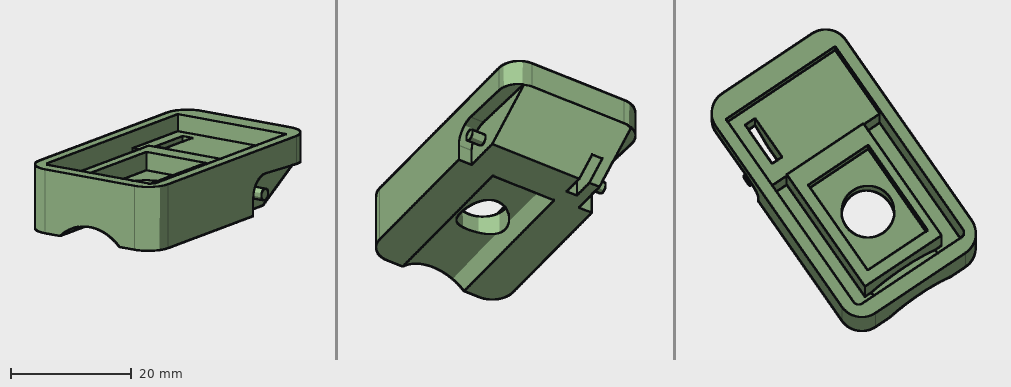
import cadquery as cq
import math

width, length, height = 26.0, 45.0, 11.0
corner_radius = 4.0

tray_width = 21.85
tray_front, tray_back = -19.95, 18.55
tray_corner_radius = 1.0
shelf_front = 5.5
shelf_z = 8.05
skin = 1.0

box_width = 15.35
box_front = -17.45
box_top = 9.0
pocket_width, pocket_length, pocket_depth = 12.0, 17.45, 3.15
window_x, window_y = 0.25, -6.7
window_diameter = 8.75

channel_radius = 8.5
channel_crown = 2.48
channel_axis_z = channel_crown - channel_radius

slot_width, slot_length = 2.0, 7.9
slot_x, slot_y = -7.5, 12.5

slope_front = 12.45
slope_top = 6.0
recess_depth = 2.5
recess_radius = 3.5
recess_front = 6.08
recess_top = 6.55
pin_y, pin_z = 9.4, 2.95
pin_diameter = 2.0


def block(x_size, y_front, y_back, z_bottom, z_top, x_center=0):
    """Box spanning the given Y and Z limits, centred on x_center."""
    size = (x_size, y_back - y_front, z_top - z_bottom)
    return cq.Workplane("XY").box(*size, centered=(True, False, False)).translate((x_center, y_front, z_bottom))


def channel_cylinder(radius, y_front, y_back):
    """Cylinder on the channel axis between two Y positions."""
    plane = cq.Workplane("XZ", origin=(0, y_front, channel_axis_z))
    return plane.circle(radius).extrude(y_front - y_back)


def side_recess():
    """Recess in the -X side: a near-level top edge that rounds down to the front edge."""
    arc_y = recess_front + recess_radius
    arc_z = recess_top - recess_radius
    run = length / 2 - arc_y
    rise = slope_top - arc_z
    tangent_angle = math.atan2(rise, run) + math.acos(recess_radius / math.hypot(run, rise))

    def arc_point(angle):
        return arc_y + recess_radius * math.cos(angle), arc_z + recess_radius * math.sin(angle)

    return (
        cq.Workplane("YZ", origin=(-width / 2, 0, 0))
        .moveTo(recess_front, 0)
        .lineTo(recess_front, arc_z)
        .threePointArc(arc_point((tangent_angle + math.pi) / 2), arc_point(tangent_angle))
        .lineTo(length / 2, slope_top)
        .lineTo(length / 2, 0)
        .close()
        .extrude(recess_depth)
    )


def pivot_pin():
    """Pin across the -X recess, flush with the outer side."""
    plane = cq.Workplane("YZ", origin=(-width / 2, pin_y, pin_z))
    return plane.circle(pin_diameter / 2).extrude(recess_depth)


body = cq.Workplane("XY").box(width, length, height, centered=(True, True, False))
body = body.edges("|Z").fillet(corner_radius)
shelf_recess = block(tray_width, shelf_front, tray_back, shelf_z, height)
well = block(tray_width, tray_front, shelf_front, skin, height)
well = well.edges("|Z and <Y").fillet(tray_corner_radius)
body = body.cut(shelf_recess).cut(well)

channel_roof = channel_cylinder(channel_radius + skin, tray_front, shelf_front)
channel_roof = channel_roof.intersect(block(tray_width, tray_front, shelf_front, 0, height))
body = body.union(channel_roof)
body = body.union(block(box_width, box_front, shelf_front, 0, box_top))

pocket_front = window_y - pocket_length / 2
pocket_back = window_y + pocket_length / 2
body = body.cut(block(pocket_width, pocket_front, pocket_back, box_top - pocket_depth, box_top, window_x))
window = cq.Workplane("XY").center(window_x, window_y).circle(window_diameter / 2).extrude(height)
body = body.cut(window)
body = body.cut(channel_cylinder(channel_radius, -length / 2, shelf_front))
body = body.cut(block(slot_width, slot_y - slot_length / 2, slot_y + slot_length / 2, 0, height, slot_x))

slope = (
    cq.Workplane("YZ", origin=(-width / 2, 0, 0))
    .polyline([(slope_front, 0), (length / 2, slope_top), (length / 2, 0)])
    .close()
    .extrude(width)
)
body = body.cut(slope)

recess = side_recess()
pin = pivot_pin()
body = body.cut(recess).cut(recess.mirror("YZ"))
result = body.union(pin).union(pin.mirror("YZ"))